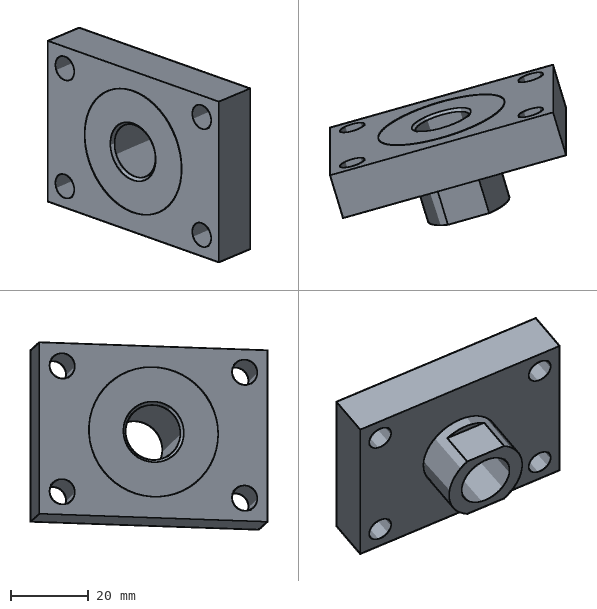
import cadquery as cq


pad_diameter = 34.0
pad_height = 0.1

plate_width = 60.0
plate_height = 45.0
plate_thickness = 12.0
plate_back = pad_height + plate_thickness

mount_hole_diameter = 6.6
mount_hole_spacing_x = 48.0
mount_hole_spacing_z = 33.0

overall_depth = 25.0
boss_diameter = 22.0
flat_length = 10.0
across_flats = 19.0

bore_diameter = 14.38
bore_chamfer = 0.76


def cylinder_y(diameter, start, end):
    """Cylinder on the Y axis between two Y positions."""
    axis_plane = cq.Plane(origin=(0, start, 0), xDir=(1, 0, 0), normal=(0, 1, 0))
    return cq.Workplane(axis_plane).circle(diameter / 2).extrude(end - start)


def make_plate():
    plate = cq.Workplane("XY").box(
        plate_width, plate_thickness, plate_height, centered=(True, False, True)
    ).translate((0, pad_height, 0))
    return (
        plate.faces("<Y")
        .workplane(centerOption="CenterOfBoundBox")
        .rarray(mount_hole_spacing_x, mount_hole_spacing_z, 2, 2)
        .hole(mount_hole_diameter)
    )


def make_boss():
    """Round boss whose free end is narrowed in Z to the across-flats size."""
    boss = cylinder_y(boss_diameter, plate_back, overall_depth)
    flat_start = overall_depth - flat_length
    cut_height = (boss_diameter - across_flats) / 2
    cut_center_z = (across_flats + cut_height) / 2
    for side in (-1, 1):
        flat_cut = cq.Workplane("XY").box(
            boss_diameter, flat_length, cut_height, centered=(True, False, True)
        )
        boss = boss.cut(flat_cut.translate((0, flat_start, side * cut_center_z)))
    return boss


def make_bore():
    """Through bore with a chamfer at the pad face."""
    bore_radius = bore_diameter / 2
    mouth_radius = bore_radius + bore_chamfer
    profile = [
        (0, 0),
        (mouth_radius, 0),
        (bore_radius, bore_chamfer),
        (bore_radius, overall_depth),
        (0, overall_depth),
    ]
    return cq.Workplane("XY").polyline(profile).close().revolve(360, (0, 0, 0), (0, 1, 0))


pad = cylinder_y(pad_diameter, 0, pad_height)
result = make_plate().union(pad).union(make_boss()).cut(make_bore())